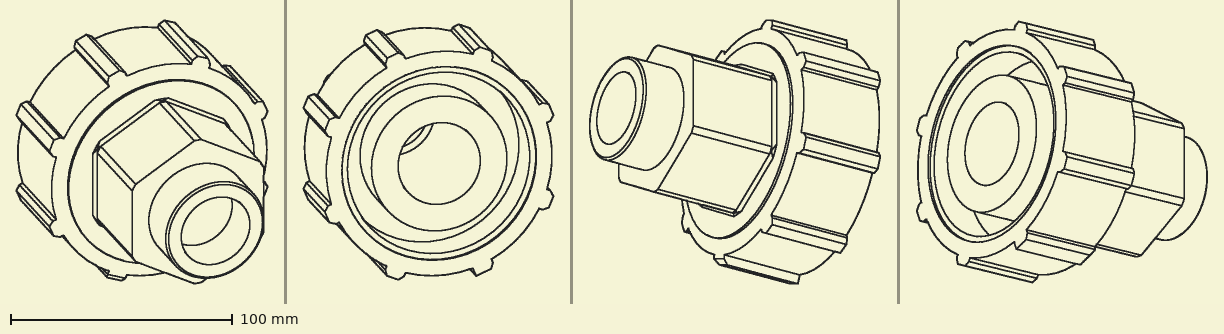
import cadquery as cq
import math

COLLAR_END = 42.7
HEX_END = 86.0
OVERALL_LENGTH = 107.0

NUT_RADIUS = 52.5
NUT_LENGTH = 40.1
BACK_SLOPE = 0.19
COLLAR_RADIUS = 90.4 / 2

RIB_COUNT = 8
RIB_TOP_RADIUS = 56.374
RIB_SHOULDER_RADIUS = 54.0
RIB_ROOT_RADIUS = 50.0
RIB_HALF_WIDTH = 4.72
RIB_TOP_HALF_WIDTH = 2.813
MARKER_RIB = 3

RIM_STEP_RADIUS = 90.4 / 2
RIM_STEP_DEPTH = 1.2
RECESS_RADIUS = 84.75 / 2
RECESS_DEPTH = 21.0
BOSS_RADIUS = 63.0 / 2
BOSS_FACE = 0.0

HEX_ACROSS_FLATS = 64.0
HEX_CORNER_RADIUS = 72.0 / 2
FLARE_LENGTH = 1.8
FLARE_GROWTH = 1.4
FLARE_CORNER_RADIUS = 73.6 / 2

SPIGOT_RADIUS = 47.8 / 2
SPIGOT_CHAMFER = 1.0
BORE_MOUTH_RADIUS = 38.24 / 2
BORE_END_RADIUS = 33.46 / 2


def cylinder(start, end, radius):
    """Solid cylinder on the X axis."""
    return cq.Workplane("YZ").workplane(offset=start).circle(radius).extrude(end - start)


def revolve_about_x(points):
    """Solid of revolution from (x, radius) points."""
    return cq.Workplane("XY").polyline(points).close().revolve(360, (0, 0, 0), (1, 0, 0))


def back_x(radius):
    """X position of the conical back of the nut at a given radius."""
    return NUT_LENGTH - BACK_SLOPE * (radius - NUT_RADIUS)


def turned_envelope():
    """Cylinder well clear of the ribs, closed by the conical back of the nut."""
    outer_radius = RIB_TOP_RADIUS + RIB_HALF_WIDTH
    return revolve_about_x([
        (0, 0),
        (0, outer_radius),
        (back_x(outer_radius), outer_radius),
        (back_x(COLLAR_RADIUS), COLLAR_RADIUS),
        (back_x(COLLAR_RADIUS), 0),
    ])


def marker_bevel():
    """Wedge that bevels the rear end of the marker rib at 45 degrees above its shoulder."""
    start_x = back_x(RIB_SHOULDER_RADIUS)
    reach = 2 * (RIB_TOP_RADIUS - RIB_SHOULDER_RADIUS)
    return (
        cq.Workplane("XZ")
        .polyline([
            (start_x, RIB_SHOULDER_RADIUS),
            (start_x - reach, RIB_SHOULDER_RADIUS + reach),
            (start_x + reach, RIB_SHOULDER_RADIUS + reach),
            (start_x + reach, RIB_SHOULDER_RADIUS),
        ])
        .close()
        .extrude(2 * RIB_HALF_WIDTH, both=True)
    )


def rib(index):
    """One grip rib; the marker rib keeps a square corner and has its end bevelled."""
    is_marker = index == MARKER_RIB
    outline = [
        (-RIB_HALF_WIDTH, RIB_ROOT_RADIUS),
        (RIB_HALF_WIDTH, RIB_ROOT_RADIUS),
        (RIB_HALF_WIDTH, RIB_SHOULDER_RADIUS),
        (RIB_TOP_HALF_WIDTH, RIB_TOP_RADIUS),
    ]
    if is_marker:
        outline += [(-RIB_HALF_WIDTH, RIB_TOP_RADIUS)]
    else:
        outline += [(-RIB_TOP_HALF_WIDTH, RIB_TOP_RADIUS), (-RIB_HALF_WIDTH, RIB_SHOULDER_RADIUS)]
    body = cq.Workplane("YZ").polyline(outline).close().extrude(back_x(COLLAR_RADIUS))
    if is_marker:
        body = body.cut(marker_bevel())
    pitch = 360 / RIB_COUNT
    return body.rotate((0, 0, 0), (1, 0, 0), (index + 0.5) * pitch)


def nut():
    """Ribbed nut with its stepped recess."""
    body = cylinder(0, back_x(COLLAR_RADIUS), NUT_RADIUS)
    for index in range(RIB_COUNT):
        body = body.union(rib(index))
    body = body.intersect(turned_envelope())
    body = body.cut(cylinder(0, RECESS_DEPTH, RECESS_RADIUS))
    return body.cut(cylinder(0, RIM_STEP_DEPTH, RIM_STEP_RADIUS))


def hexagon(start):
    """Outline of the wrench hexagon, with corners on the Z axis."""
    across_corners = HEX_ACROSS_FLATS / math.cos(math.pi / 6)
    return (
        cq.Workplane("YZ")
        .workplane(offset=start)
        .transformed(rotate=(0, 0, 90))
        .polygon(6, across_corners)
    )


def wrench_section():
    """Hexagon with rounded-off corners and a flared foot against the collar."""
    prism = hexagon(COLLAR_END).extrude(HEX_END - COLLAR_END)
    prism = prism.intersect(cylinder(COLLAR_END, HEX_END, HEX_CORNER_RADIUS))
    flare_end = COLLAR_END + FLARE_LENGTH
    taper = math.degrees(math.atan2(FLARE_GROWTH, FLARE_LENGTH))
    foot = hexagon(flare_end).extrude(-FLARE_LENGTH, taper=-taper)
    foot = foot.intersect(cylinder(COLLAR_END, flare_end, FLARE_CORNER_RADIUS))
    return prism.union(foot)


def spigot():
    """Plain round end with a chamfered rim."""
    return cylinder(HEX_END, OVERALL_LENGTH, SPIGOT_RADIUS).faces(">X").chamfer(SPIGOT_CHAMFER)


def bore():
    """Through bore that narrows with a 45 degree step just before the spigot."""
    step = BORE_MOUTH_RADIUS - BORE_END_RADIUS
    return revolve_about_x([
        (BOSS_FACE, 0),
        (BOSS_FACE, BORE_MOUTH_RADIUS),
        (HEX_END - step, BORE_MOUTH_RADIUS),
        (HEX_END, BORE_END_RADIUS),
        (OVERALL_LENGTH, BORE_END_RADIUS),
        (OVERALL_LENGTH, 0),
    ])


collar = cylinder(RECESS_DEPTH, COLLAR_END, COLLAR_RADIUS)
boss = cylinder(BOSS_FACE, COLLAR_END, BOSS_RADIUS)

result = nut().union(collar).union(boss).union(wrench_section()).union(spigot()).cut(bore())